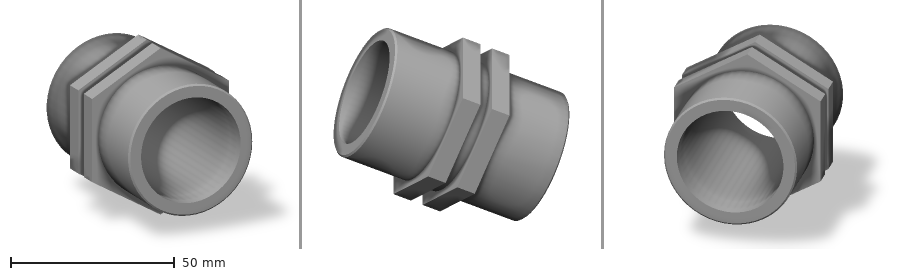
import cadquery as cq

length = 60.0
outer_diameter = 41.9
bore_diameter = 33.55
end_chamfer = 0.55

hex_across_flats = 46.1
hex_across_corners = 53.1
collar_width = 6.0
collar_gap = 4.0


def cylinder_along_x(diameter):
    """Full-length cylinder centred on the origin."""
    return cq.Workplane("YZ").circle(diameter / 2).extrude(length / 2, both=True)


def hex_collar(start_x):
    """Hexagonal plate with corners pointing up and down and flats facing Y."""
    half_flats = hex_across_flats / 2
    top = hex_across_corners / 2
    shoulder = top / 2
    corners = [
        (0, top),
        (half_flats, shoulder),
        (half_flats, -shoulder),
        (0, -top),
        (-half_flats, -shoulder),
        (-half_flats, shoulder),
    ]
    return (
        cq.Workplane("YZ", origin=(start_x, 0, 0))
        .polyline(corners)
        .close()
        .extrude(collar_width)
    )


body = cylinder_along_x(outer_diameter).faces("<X or >X").chamfer(end_chamfer)

for collar_start in (-collar_gap / 2 - collar_width, collar_gap / 2):
    body = body.union(hex_collar(collar_start))

result = body.cut(cylinder_along_x(bore_diameter))